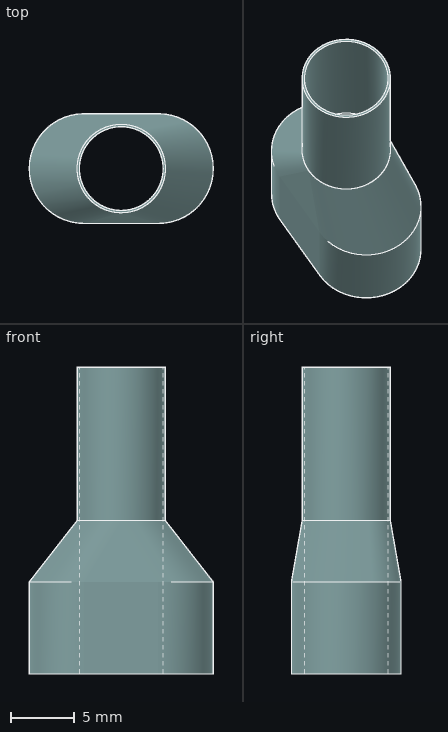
import cadquery as cq

total_height = 24.0
collar_length = 14.4
collar_width = 8.6
straight_height = 7.2
collar_height = 12.0
sleeve_diameter = 6.9
bore_diameter = 6.53

end_radius = collar_width / 2
end_offset = (collar_length - collar_width) / 2
sleeve_radius = sleeve_diameter / 2
taper_height = collar_height - straight_height


def half_disc_wire(sketch, radius, side):
    """Semicircle bulging toward side (-1 or +1) along X, closed by its diameter."""
    return sketch.moveTo(0, -radius).threePointArc((side * radius, 0), (0, radius)).close()


def make_taper_end(side):
    """Half of an oblique cone leaning from one rounded end in to the sleeve."""
    base = cq.Workplane("XY", origin=(side * end_offset, 0, straight_height))
    lower = half_disc_wire(base, end_radius, side)
    upper_plane = lower.workplane(offset=taper_height).center(-side * end_offset, 0)
    return half_disc_wire(upper_plane, sleeve_radius, side).loft(ruled=True)


def make_taper_middle():
    """Wedge between the taper ends, with a triangular face front and back."""
    left_front = (-end_offset, -end_radius, straight_height)
    right_front = (end_offset, -end_radius, straight_height)
    right_back = (end_offset, end_radius, straight_height)
    left_back = (-end_offset, end_radius, straight_height)
    ridge_front = (0, -sleeve_radius, collar_height)
    ridge_back = (0, sleeve_radius, collar_height)
    outlines = [
        [left_front, right_front, right_back, left_back],
        [left_front, right_front, ridge_front],
        [left_back, right_back, ridge_back],
        [left_front, left_back, ridge_back, ridge_front],
        [right_front, right_back, ridge_back, ridge_front],
    ]
    faces = []
    for outline in outlines:
        wire = cq.Wire.makePolygon([cq.Vector(*point) for point in outline], close=True)
        faces.append(cq.Face.makeFromWires(wire))
    return cq.Workplane(cq.Solid.makeSolid(cq.Shell.makeShell(faces)).fix())


def make_collar():
    """Straight oblong base and taper, with the sleeve's bore running through."""
    collar = cq.Workplane("XY").slot2D(collar_length, collar_width).extrude(straight_height)
    collar = collar.union(make_taper_middle())
    for side in (-1, 1):
        collar = collar.union(make_taper_end(side))
    bore = cq.Workplane("XY").circle(bore_diameter / 2).extrude(collar_height)
    return collar.cut(bore)


def make_sleeve():
    """Thin tube that rests on the top of the collar."""
    ring = cq.Workplane("XY", origin=(0, 0, collar_height))
    ring = ring.circle(sleeve_radius).circle(bore_diameter / 2)
    return ring.extrude(total_height - collar_height)


collar = make_collar()
sleeve = make_sleeve()
result = cq.Compound.makeCompound([collar.solids().val(), sleeve.val()])